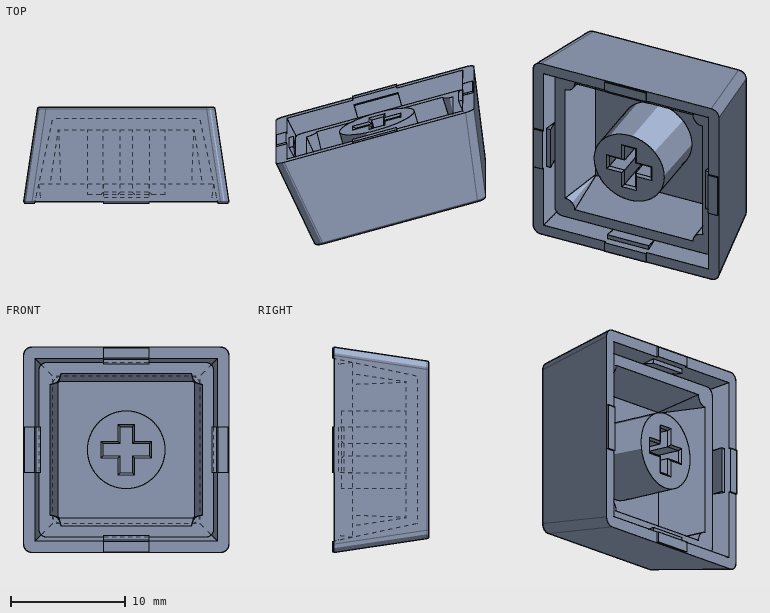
import cadquery as cq
import math


OPENING_SIDE = 18.0
SHELL_DEPTH = 8.3
OUTER_DRAFT = 8.5
CORNER_RADIUS = 0.75
BACK_EDGE_RADIUS = 0.2
WALL = 1.0
CAVITY_SIDE = OPENING_SIDE - 2 * WALL
CAVITY_DEPTH = SHELL_DEPTH - WALL
CAVITY_DRAFT = 12.0

CLIP_WIDTH = 4.0
TAB_HEIGHT = 0.15
TAB_ROOT = 0.15
TAB_INSET = 0.07
WEDGE_FRONT = 0.4
WEDGE_TIP = 7.5

LINER_FRONT = 1.58
LINER_POCKET_SIDE = 13.32
LINER_POCKET_FLOOR = CAVITY_DEPTH - WALL
RIB_RIM_RADIUS = 0.94
RIB_FLOOR_RADIUS = 0.05

STEM_DIAMETER = 6.8
STEM_FRONT = 0.65
CROSS_LENGTH = 4.03
CROSS_WIDTH = 1.06
CROSS_CHAMFER = 0.2


def plane_at(depth):
    """Workplane facing +Y at the given depth behind the rim."""
    return cq.Workplane("ZX", origin=(0, depth, 0))


def tapered_block(side, front, back, draft):
    """Square block that narrows from the front depth to the back depth."""
    return plane_at(front).rect(side, side).extrude(back - front, taper=draft)


def cavity_half_side(depth):
    """Half side of the shell cavity at a given depth."""
    return CAVITY_SIDE / 2 - depth * math.tan(math.radians(CAVITY_DRAFT))


def around_axis(shape):
    """Four copies of a shape, one per side of the square."""
    return [shape.rotate((0, 0, 0), (0, 1, 0), 90 * side) for side in range(4)]


def make_tab():
    """Low bar standing on the rim of the +X wall, its inner face continuing the cavity wall."""
    outer_face = OPENING_SIDE / 2 - TAB_INSET
    profile = [
        (cavity_half_side(-TAB_HEIGHT), -TAB_HEIGHT),
        (outer_face, -TAB_HEIGHT),
        (outer_face, TAB_ROOT),
        (cavity_half_side(TAB_ROOT), TAB_ROOT),
    ]
    return cq.Workplane("XY").polyline(profile).close().extrude(CLIP_WIDTH / 2, both=True)


def make_wedge():
    """Snap wedge on the +X wall, fading into the wall at the liner rim."""
    root = CAVITY_SIDE / 2
    profile = [
        (WEDGE_TIP, WEDGE_FRONT),
        (cavity_half_side(LINER_FRONT), LINER_FRONT),
        (root, LINER_FRONT),
        (root, WEDGE_FRONT),
    ]
    return cq.Workplane("XY").polyline(profile).close().extrude(CLIP_WIDTH / 2, both=True)


def make_shell():
    """Outer shell with its open cavity, tabs and wedges."""
    shell = tapered_block(OPENING_SIDE, 0, SHELL_DEPTH, OUTER_DRAFT)
    shell = shell.edges("not(#Y)").fillet(CORNER_RADIUS)
    shell = shell.faces(">Y").edges().fillet(BACK_EDGE_RADIUS)
    shell = shell.cut(tapered_block(CAVITY_SIDE, 0, CAVITY_DEPTH, CAVITY_DRAFT))
    for clip in around_axis(make_tab()) + around_axis(make_wedge()):
        shell = shell.union(clip)
    return shell


def make_cross_socket():
    """Cross-shaped socket with a chamfered mouth, as deep as the stem is long."""
    length = LINER_POCKET_FLOOR - STEM_FRONT
    upright = plane_at(STEM_FRONT).rect(CROSS_LENGTH, CROSS_WIDTH).extrude(length)
    crossbar = plane_at(STEM_FRONT).rect(CROSS_WIDTH, CROSS_LENGTH).extrude(length)
    socket = upright.union(crossbar)
    mouth_length = CROSS_LENGTH + 2 * CROSS_CHAMFER
    mouth_width = CROSS_WIDTH + 2 * CROSS_CHAMFER
    for height, width in [(mouth_length, mouth_width), (mouth_width, mouth_length)]:
        mouth = plane_at(STEM_FRONT).rect(height, width).extrude(CROSS_CHAMFER, taper=45)
        socket = socket.union(mouth)
    return socket


def make_corner_rib():
    """Tapered round rib that follows one corner edge of the liner pocket."""
    half_rim = LINER_POCKET_SIDE / 2
    rib_length = LINER_POCKET_FLOOR - LINER_FRONT
    half_floor = half_rim - rib_length * math.tan(math.radians(OUTER_DRAFT))
    return (
        plane_at(LINER_FRONT)
        .moveTo(half_rim, half_rim)
        .circle(RIB_RIM_RADIUS)
        .workplane(offset=rib_length)
        .moveTo(half_floor, half_floor)
        .circle(RIB_FLOOR_RADIUS)
        .loft(ruled=True)
    )


def make_liner():
    """Inner liner that lines the shell cavity and carries the stem."""
    liner = tapered_block(2 * cavity_half_side(LINER_FRONT), LINER_FRONT, CAVITY_DEPTH, CAVITY_DRAFT)
    liner = liner.edges("not(#Y)").fillet(CORNER_RADIUS)
    liner = liner.cut(tapered_block(LINER_POCKET_SIDE, LINER_FRONT, LINER_POCKET_FLOOR, OUTER_DRAFT))

    stem = plane_at(STEM_FRONT).circle(STEM_DIAMETER / 2).extrude(LINER_POCKET_FLOOR - STEM_FRONT)
    liner = liner.union(stem)
    for rib in around_axis(make_corner_rib()):
        liner = liner.union(rib)
    return liner.cut(make_cross_socket())


shell = make_shell()
liner = make_liner()

result = cq.Compound.makeCompound([shell.solids().val(), liner.solids().val()])